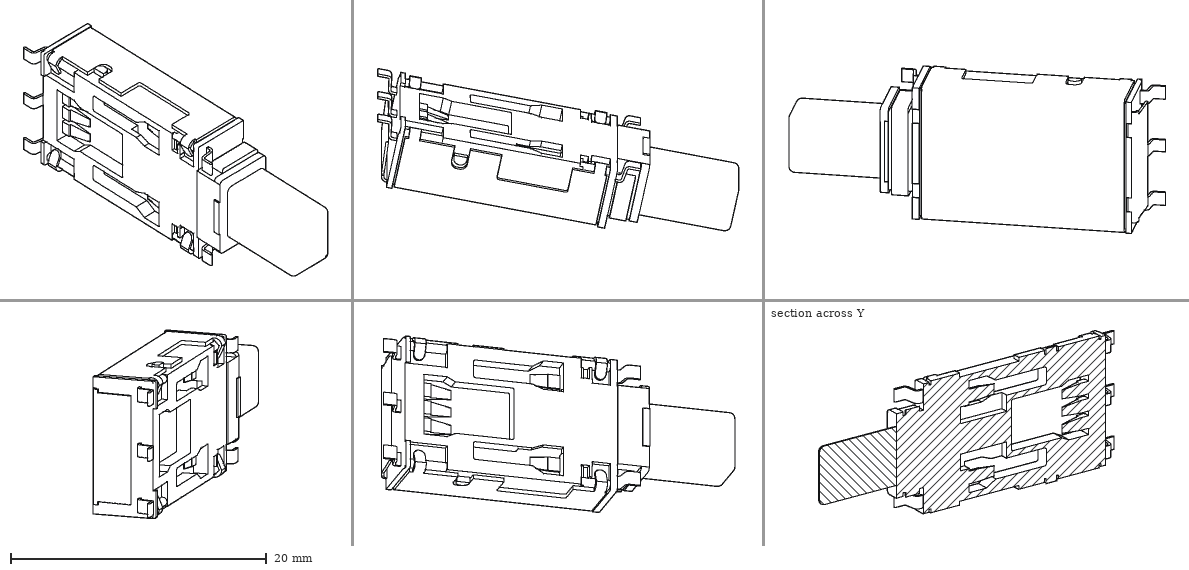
import cadquery as cq
import math

OVERALL_LENGTH = 29.12
OVERALL_WIDTH = 11.45

CORE_LENGTH = 17.4
CORE_HALF_WIDTH = 5.27
CORE_TOP = 4.65
SHELL_START = 0.58
SHELL_END = 16.7
SHELL_HALF_WIDTH = 5.6
SHELL_TOP = 4.9
SHELL_BOTTOM = 0.5
SHELL_FILLET = 0.35
WIDE_WINDOW = (8.3, 13.95, 2.5)
WINDOW_CORNER = 0.17
LATCH_SLOT = (4.55, 5.8, 2.25)
LATCH_WIDTH = 1.05
LATCH_BOTTOM = 1.1
LATCH_TIP = OVERALL_WIDTH / 2

FLANGE_HALF_WIDTH = 5.5
FLANGE_TOP = 4.95
FRONT_FLANGE_LENGTH = 0.45
REAR_FLANGE_START = 16.85
FLANGE_FILLET = 0.17
LEDGE_DEPTH = 0.1
NOTCH_INNER = 2.53
NOTCH_OUTER = 3.7
FOOT_DROP = 0.25
CORNER_INNER = 3.3
FRONT_BEVEL_LENGTH = 0.1
FRONT_BEVEL_HEIGHT = 0.38

COLLAR_END = 19.98
COLLAR_HALF_WIDTH = CORNER_INNER
COLLAR_BOTTOM = -0.15
COLLAR_TOP = 4.83
COLLAR_FILLET = 0.17
RIM_START = 19.35
RIM_HALF_WIDTH = 3.58
RIM_TAB_LENGTH = 0.55
RIM_TAB_HALF_WIDTH = 1.57
RIM_RIDGE_LENGTH = 0.3
PAD = (17.75, 19.07, 1.02, SHELL_TOP)
PAD_HALF_WIDTH = 3.73
PAD_TOP_FILLET = 0.35
PAD_BOTTOM_FILLET = 0.2

RECESS_DEPTH = 0.5
FRONT_RECESS = (FRONT_FLANGE_LENGTH, 3.52)
REAR_RECESS = (15.38, REAR_FLANGE_START)
SIDE_RECESS = (14.47, 15.5)
SIDE_RECESS_INNER = 3.65
RIB_START = 15.1
RIB_LENGTH = 0.23
SIDE_STEP_LENGTH = 0.25
SIDE_STEP_DEPTH = 0.25
RIDGE_BOTTOM = 0.05
RIDGE_INNER = 4.57
RIDGE_FILLET = 0.32
CLAW_WIDTH = 0.9
CLAW_STARTS = (0.85, 15.65)
CLAW_DROP = 0.23
CLAW_BEND = 4.98
CLAW_TIP = 3.8
CLAW_THICKNESS = 0.2

MIDDLE_POCKET_DEPTH = 1.16
SIDE_POCKET_DEPTH = 1.16
UNDERCUT_START = 9.45
UNDERCUT_END = 13.83
UNDERCUT_INNER = 1.3
POCKET_CORNER = 0.15
MIDDLE_POCKET_START = 1.63
MIDDLE_POCKET_END = 8.97
SIDE_POCKET_START = 5.68
SIDE_POCKET_END = 13.02
FINGER_HALF_WIDTH = 0.55
MIDDLE_FINGER_PITCH = 1.45
SIDE_FINGER_OFFSET = 3.47
MIDDLE_FINGER_HEIGHT = 0.58
SIDE_FINGER_HEIGHT = 0.2
MIDDLE_FINGER_STEP = 0.17
SIDE_FINGER_STEP = 0.05
FINGER_TIP_HEIGHT = 0.05

SHEET = 0.2
TERMINAL_BOTTOM = -0.38
TERMINAL_TOP = 1.1
TERMINAL_WIDTH = 1.08
MIDDLE_TERMINAL_WIDTH = 1.0
TERMINAL_OFFSET = 4.45
FRONT_TIP = -1.78
FRONT_RISER = -0.65
REAR_TIP = 19.22
REAR_RISER = 18.05
RISER_LEAN = 0.1
TERMINAL_BEND = 0.25
SPRING_TIP = (-0.6, 1.6)
SPRING_BEND = (-0.38, 4.37)
SPRING_BEND_RADIUS = 0.4
SPRING_HALF_WIDTH = 4.37
SPRING_BEND_HALF_WIDTH = 4.63

STEM_END = FRONT_TIP + OVERALL_LENGTH
STEM_HALF_WIDTH = 2.5
STEM_BOTTOM = 0.67
STEM_TOP = 4.75
STEM_FILLET = 0.52
STEM_END_FILLET = 0.5


def block(x_range, y_range, z_range):
    """Box between the given limits."""
    size = [high - low for low, high in (x_range, y_range, z_range)]
    corner = (x_range[0], y_range[0], z_range[0])
    return cq.Workplane("XY").box(*size, centered=False).translate(corner)


def centred_block(x_range, y_range, half_width):
    """Box that is symmetric about Z = 0."""
    return block(x_range, y_range, (-half_width, half_width))


def both_sides(shape):
    """The shape with its mirror image across Z = 0."""
    return shape.union(shape.mirror("XY"))


def side_profile(points, z_middle, width):
    """Closed XY outline extruded along Z about z_middle."""
    outline = cq.Workplane("XY").workplane(offset=z_middle - width / 2).polyline(points).close()
    return outline.extrude(width)


def floor_prism(points, depth):
    """Closed XZ outline extruded from the mounting face to the given depth."""
    return cq.Workplane("XZ").polyline(points).close().extrude(-depth)


def sheet_strip(path, bend_radius, z_middle, width):
    """Sheet along an XY path, with its mid-surface rounded at every bend."""
    wire = cq.Wire.makePolygon([cq.Vector(x, y, z_middle - width / 2) for x, y in path]).fillet(bend_radius)
    strip = cq.Workplane("XY").newObject([wire]).toPending()
    return strip.offset2D(SHEET / 2, "arc").extrude(width)


def make_shell():
    """Cover around the core with latch slots and wide windows in both sides."""
    shell = centred_block((SHELL_START, SHELL_END), (SHELL_BOTTOM, SHELL_TOP), SHELL_HALF_WIDTH)
    shell = shell.edges("|X and >Y").fillet(SHELL_FILLET)
    side = (CORE_HALF_WIDTH, SHELL_HALF_WIDTH)
    for opening, radius in ((WIDE_WINDOW, WINDOW_CORNER), (LATCH_SLOT, LATCH_WIDTH / 2)):
        start, end, top = opening
        window = block((start, end), (SHELL_BOTTOM, top), side).edges("|Z and >Y").fillet(radius)
        shell = shell.cut(both_sides(window))
    return shell


def make_latches():
    """Round-topped bumps that snap into the latch slots."""
    middle = (LATCH_SLOT[0] + LATCH_SLOT[1]) / 2
    radius = LATCH_WIDTH / 2
    start = middle - radius
    bump = (
        cq.Workplane("XY").workplane(offset=CORE_HALF_WIDTH - CLAW_THICKNESS)
        .moveTo(start, LATCH_BOTTOM)
        .lineTo(start + LATCH_WIDTH, LATCH_BOTTOM)
        .lineTo(start + LATCH_WIDTH, LATCH_BOTTOM + SHEET)
        .threePointArc((middle, LATCH_BOTTOM + SHEET + radius), (start, LATCH_BOTTOM + SHEET))
        .close()
        .extrude(LATCH_TIP - CORE_HALF_WIDTH + CLAW_THICKNESS)
    )
    return both_sides(bump)


def make_flanges():
    """Plates at both ends of the shell, with two feet under the front one."""
    front = centred_block((0, FRONT_FLANGE_LENGTH), (0, FLANGE_TOP), FLANGE_HALF_WIDTH)
    rear = centred_block((REAR_FLANGE_START, CORE_LENGTH), (0, FLANGE_TOP), FLANGE_HALF_WIDTH)
    flanges = front.union(rear).edges("|X and <Y").fillet(FLANGE_FILLET)
    notch = block((0, CORE_LENGTH), (FLANGE_TOP - LEDGE_DEPTH, FLANGE_TOP), (NOTCH_INNER, NOTCH_OUTER))
    flanges = flanges.cut(both_sides(notch))
    foot = block(
        (FRONT_BEVEL_LENGTH, FRONT_FLANGE_LENGTH),
        (-FOOT_DROP, FRONT_BEVEL_HEIGHT),
        (CORNER_INNER, FLANGE_HALF_WIDTH),
    )
    foot = foot.edges("|X and <Y and >Z").fillet(FLANGE_FILLET)
    return flanges.union(both_sides(foot))


def make_front_bevel():
    """Steep bevel along the lower edge of the front flange."""
    points = [(0, 0), (FRONT_BEVEL_LENGTH, 0), (0, FRONT_BEVEL_HEIGHT)]
    return side_profile(points, 0, 2 * FLANGE_HALF_WIDTH)


def make_collar():
    """Sleeve at the stem end, with side pads, a rim and the rim's tab and ridge."""
    collar = centred_block((CORE_LENGTH, COLLAR_END), (COLLAR_BOTTOM, COLLAR_TOP), COLLAR_HALF_WIDTH)
    collar = collar.edges("|X and >Y").fillet(COLLAR_FILLET)
    rim = centred_block((RIM_START, COLLAR_END), (COLLAR_BOTTOM, SHELL_TOP), RIM_HALF_WIDTH)
    rim = rim.edges("|X").fillet(SHELL_FILLET)
    pads = centred_block(PAD[:2], PAD[2:], PAD_HALF_WIDTH)
    pads = pads.edges("|X and >Y").fillet(PAD_TOP_FILLET).edges("|X and <Y").fillet(PAD_BOTTOM_FILLET)
    tab = centred_block((COLLAR_END - RIM_TAB_LENGTH, COLLAR_END), (-FOOT_DROP, 0), RIM_TAB_HALF_WIDTH)
    ridge = centred_block((RIM_START, RIM_START + RIM_RIDGE_LENGTH), (COLLAR_TOP, FLANGE_TOP), NOTCH_INNER)
    return collar.union(pads).union(rim).union(tab).union(ridge)


def make_corner_recesses():
    """Shallow steps at the four corners of the mounting face."""
    depth = (0, RECESS_DEPTH)
    front = block(FRONT_RECESS, depth, (CORNER_INNER, FLANGE_HALF_WIDTH))
    rear = block(REAR_RECESS, depth, (CORNER_INNER, FLANGE_HALF_WIDTH))
    side = block(SIDE_RECESS, depth, (SIDE_RECESS_INNER, FLANGE_HALF_WIDTH))
    rib = block((RIB_START, RIB_START + RIB_LENGTH), depth, (SIDE_RECESS_INNER, RIDGE_INNER))
    step = block(
        (SIDE_RECESS[0], SIDE_RECESS[0] + SIDE_STEP_LENGTH),
        (SIDE_STEP_DEPTH, RECESS_DEPTH),
        (SIDE_RECESS_INNER, FLANGE_HALF_WIDTH),
    )
    return both_sides(front.union(rear).union(side.cut(rib).cut(step)))


def make_recess_ridges():
    """Rounded ridges along the outer edges of the corner recesses."""
    y_range, z_range = (RIDGE_BOTTOM, RECESS_DEPTH), (RIDGE_INNER, CORE_HALF_WIDTH)
    front = block(FRONT_RECESS, y_range, z_range)
    rear = block((SIDE_RECESS[0], REAR_RECESS[1]), y_range, z_range)
    return both_sides(front.union(rear).edges("|X and <Y").fillet(RIDGE_FILLET))


def make_claw(start):
    """Round-tipped shell claw, bent under the side and sloping into its recess."""
    bend_radius = SHELL_HALF_WIDTH - CLAW_BEND
    bend_y = bend_radius - CLAW_DROP
    diagonal = bend_radius * math.sqrt(0.5)
    profile = (
        cq.Workplane("YZ").workplane(offset=start)
        .moveTo(SHELL_BOTTOM + CLAW_THICKNESS, SHELL_HALF_WIDTH)
        .lineTo(bend_y, SHELL_HALF_WIDTH)
        .threePointArc((bend_y - diagonal, CLAW_BEND + diagonal), (-CLAW_DROP, CLAW_BEND))
        .lineTo(RECESS_DEPTH - CLAW_THICKNESS, CLAW_TIP)
        .lineTo(RECESS_DEPTH, CLAW_TIP)
        .lineTo(CLAW_THICKNESS - CLAW_DROP, CLAW_BEND)
        .lineTo(bend_y, SHELL_HALF_WIDTH - CLAW_THICKNESS)
        .lineTo(SHELL_BOTTOM + CLAW_THICKNESS, SHELL_HALF_WIDTH - CLAW_THICKNESS)
        .close()
        .extrude(CLAW_WIDTH)
    )
    radius = CLAW_WIDTH / 2
    middle = start + radius
    tip_centre = CLAW_TIP + radius
    rounded = (
        cq.Workplane("XZ").workplane(offset=CLAW_DROP)
        .moveTo(start, SHELL_HALF_WIDTH)
        .lineTo(start, tip_centre)
        .threePointArc((middle, CLAW_TIP), (start + CLAW_WIDTH, tip_centre))
        .lineTo(start + CLAW_WIDTH, SHELL_HALF_WIDTH)
        .close()
        .extrude(-SHELL_TOP)
    )
    return profile.intersect(rounded)


def make_finger(root, step, tip, tip_half_width, z_middle, floor, height, step_drop):
    """Contact finger on a pocket floor: a flat root, then a tapered slope down to the tip."""
    root_y = floor - height
    profile = [
        (root, floor),
        (root, root_y),
        (step, root_y),
        (step, root_y + step_drop),
        (tip, floor - FINGER_TIP_HEIGHT),
        (tip, floor),
    ]
    outline = [
        (root, z_middle - FINGER_HALF_WIDTH),
        (step, z_middle - FINGER_HALF_WIDTH),
        (tip, z_middle - tip_half_width),
        (tip, z_middle + tip_half_width),
        (step, z_middle + FINGER_HALF_WIDTH),
        (root, z_middle + FINGER_HALF_WIDTH),
    ]
    return side_profile(profile, z_middle, 2 * FINGER_HALF_WIDTH).intersect(floor_prism(outline, floor))


def make_middle_pocket():
    """Wide pocket that holds three fingers."""
    wide, narrow = STEM_HALF_WIDTH, 2.15
    neck_start, neck_end = 3.52, 4.2
    upper = [
        (MIDDLE_POCKET_START, wide),
        (neck_start, wide),
        (neck_end, narrow),
        (MIDDLE_POCKET_END, narrow),
    ]
    lower = [(x, -z) for x, z in reversed(upper)]
    pocket = floor_prism(upper + lower, MIDDLE_POCKET_DEPTH).edges("|Y and >X").fillet(POCKET_CORNER)
    step, tip, tip_half_width = 2.4, 4.15, 0.38
    for row in (-1, 0, 1):
        z_middle = row * MIDDLE_FINGER_PITCH
        pocket = pocket.cut(
            make_finger(
                MIDDLE_POCKET_START, step, tip, tip_half_width,
                z_middle, MIDDLE_POCKET_DEPTH, MIDDLE_FINGER_HEIGHT, MIDDLE_FINGER_STEP,
            )
        )
    return pocket


def make_side_pockets():
    """Narrow pockets beside the middle one, each with one finger and an undercut inner wall."""
    narrow_inner, narrow_outer = 2.68, 4.15
    wide_inner, wide_outer = 2.33, 4.72
    neck_start, neck_end = 10.48, 11.4
    outline = [
        (SIDE_POCKET_START, narrow_outer),
        (neck_start, narrow_outer),
        (neck_end, wide_outer),
        (SIDE_POCKET_END, wide_outer),
        (SIDE_POCKET_END, wide_inner),
        (neck_end, wide_inner),
        (neck_start, narrow_inner),
        (SIDE_POCKET_START, narrow_inner),
    ]
    pocket = floor_prism(outline, SIDE_POCKET_DEPTH).edges("|Y and <X").fillet(POCKET_CORNER)
    step, tip, tip_half_width = 12.03, 10.63, 0.45
    finger = make_finger(
        SIDE_POCKET_END, step, tip, tip_half_width,
        SIDE_FINGER_OFFSET, SIDE_POCKET_DEPTH, SIDE_FINGER_HEIGHT, SIDE_FINGER_STEP,
    )
    undercut = block(
        (UNDERCUT_START, UNDERCUT_END),
        (RECESS_DEPTH, SIDE_POCKET_DEPTH),
        (UNDERCUT_INNER, narrow_inner),
    )
    return both_sides(pocket.cut(finger).union(undercut))


def make_terminal(root, riser, tip, z_middle, width):
    """S-bent solder terminal from the housing to its foot."""
    half_sheet = SHEET / 2
    outward = math.copysign(1, tip - root)
    path = [
        (root, TERMINAL_TOP - half_sheet),
        (riser - outward * RISER_LEAN, TERMINAL_TOP - half_sheet),
        (riser + outward * RISER_LEAN, TERMINAL_BOTTOM + half_sheet),
        (tip - outward * half_sheet, TERMINAL_BOTTOM + half_sheet),
    ]
    return sheet_strip(path, TERMINAL_BEND, z_middle, width)


def make_terminals():
    """Three terminals at the front end and two at the stem end."""
    terminals = make_terminal(SHEET, FRONT_RISER, FRONT_TIP, 0, MIDDLE_TERMINAL_WIDTH)
    for z_middle in (-TERMINAL_OFFSET, TERMINAL_OFFSET):
        terminals = terminals.union(
            make_terminal(SHEET, FRONT_RISER, FRONT_TIP, z_middle, TERMINAL_WIDTH)
        ).union(
            make_terminal(CORE_LENGTH - SHEET, REAR_RISER, REAR_TIP, z_middle, TERMINAL_WIDTH)
        )
    return terminals


def make_spring_plate():
    """Sheet that bends over the front flange and hangs in front of it."""
    half_sheet = SHEET / 2
    top_y = SHELL_TOP - half_sheet
    tip_x, tip_y = SPRING_TIP
    bend_x, bend_y = SPRING_BEND
    path = [(SHEET, top_y), (bend_x, top_y), (tip_x, tip_y + half_sheet)]
    plate = sheet_strip(path, SPRING_BEND_RADIUS, 0, 2 * SPRING_BEND_HALF_WIDTH)
    trim = block((tip_x - SHEET, 0), (0, bend_y), (SPRING_HALF_WIDTH, SPRING_BEND_HALF_WIDTH))
    return plate.cut(both_sides(trim))


def make_housing():
    """Fixed body: core, shell, flanges, collar, claws, terminals and spring plate."""
    housing = centred_block((0, CORE_LENGTH), (0, CORE_TOP), CORE_HALF_WIDTH)
    housing = housing.union(make_shell()).union(make_flanges()).union(make_collar())
    housing = housing.cut(make_front_bevel()).cut(make_corner_recesses())
    housing = housing.cut(make_middle_pocket()).cut(make_side_pockets())
    housing = housing.union(make_latches()).union(make_recess_ridges())
    for start in CLAW_STARTS:
        housing = housing.union(both_sides(make_claw(start)))
    return housing.union(make_terminals()).union(make_spring_plate())


def make_stem():
    """Rounded rectangular stem that stands on the collar's end face."""
    stem = centred_block((COLLAR_END, STEM_END), (STEM_BOTTOM, STEM_TOP), STEM_HALF_WIDTH)
    return stem.edges("|X").fillet(STEM_FILLET).faces(">X").edges().fillet(STEM_END_FILLET)


housing = make_housing()
stem = make_stem()
result = cq.Compound.makeCompound([housing.val(), stem.val()])